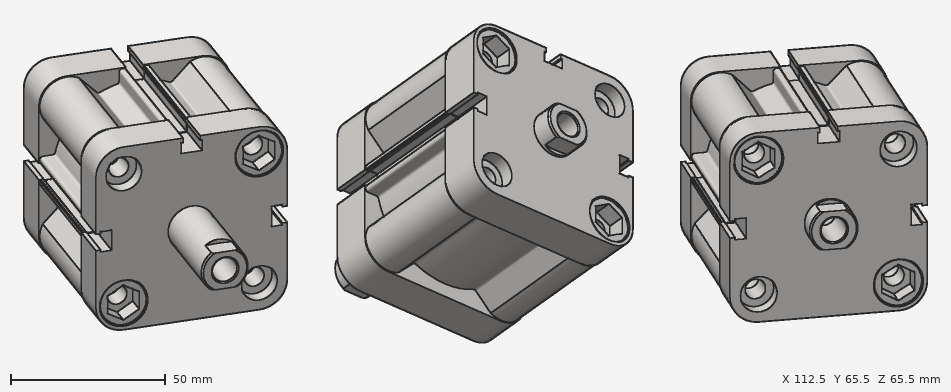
import cadquery as cq
import math


overall_length = 112.5
rear_rod_reach = 7.9
rear_cap_length = 15.0
barrel_length = 42.0
front_cap_length = 14.5
barrel_start = rear_cap_length
barrel_end = barrel_start + barrel_length
front_face = barrel_end + front_cap_length

cap_size = 65.5
cap_half = cap_size / 2
cap_corner_radius = 9.6
bolt_offset = cap_half - cap_corner_radius
bolt_hole_diameter = 6.8
counterbore_diameter = 12.2
counterbore_depth = 5.1
screw_head_radius = 7.9
screw_gap = 0.3
screw_gap_depth = 1.1
screw_head_recess = 0.5
hex_across_flats = 10.8
hex_depth = 6.8
hex_half_angle = 30

screw_corners = [(1, 1), (-1, -1)]
counterbore_corners = [(1, -1), (-1, 1)]

slot_angles = [0, 90, -90]
slot_mouth_half = 2.9
slot_lip_depth = 1.7
cap_slot_half = 3.6
cap_slot_depth = 5.4
barrel_slot_half = 3.3
barrel_slot_floor = 27.7
slot_edge_chamfer = 0.3

barrel_inset = 0.3
barrel_half = cap_half - barrel_inset
tube_radius = 27.8
boss_radius = cap_corner_radius - barrel_inset
web_half_width = 8.8
web_angles = [45, 135, 225, 315]
rail_half_width = 5.3
profile_round = 1.0

rod_diameter = 16.0
rod_radius = rod_diameter / 2
rod_chamfer = 0.6
wrench_flat_gap = 13.2
wrench_flat_length = 6.8
wrench_cutter_radius = 27.0
thread_diameter = 8.4
thread_chamfer = 0.5
thread_depth = 15.8
drill_point_angle = 118.0


def prism_plane(x):
    """Section plane across the axis: local x is Y, local y is Z, extruding toward +X."""
    return cq.Workplane("YZ", origin=(x, 0, 0))


def corner_points(corners):
    return [(sy * bolt_offset, sz * bolt_offset) for sy, sz in corners]


def turn_about_axis(body, angle):
    return body.rotate((0, 0, 0), (1, 0, 0), angle)


def t_slot(start, length, wide_half, floor):
    """Cutter for one T slot opening toward +Z."""
    lip = cap_half - slot_lip_depth
    mouth_middle = (cap_half + floor) / 2
    mouth = (
        prism_plane(start).center(0, mouth_middle)
        .rect(2 * slot_mouth_half, cap_half - floor).extrude(length)
    )
    chamber = (
        prism_plane(start).center(0, (lip + floor) / 2)
        .rect(2 * wide_half, lip - floor).extrude(length)
    )
    return mouth.union(chamber)


def make_rear_cap(length):
    """Cap with its outer face at X = 0, carrying the screw and bolt details on that face."""
    cap = prism_plane(0).rect(cap_size, cap_size).extrude(length)
    cap = cap.edges("|X").fillet(cap_corner_radius)

    for angle in slot_angles:
        slot = t_slot(0, length, cap_slot_half, cap_half - cap_slot_depth)
        cap = cap.cut(turn_about_axis(slot, angle))

    bolt_points = corner_points(screw_corners + counterbore_corners)
    cap = cap.cut(prism_plane(0).pushPoints(bolt_points).circle(bolt_hole_diameter / 2).extrude(length))
    cap = cap.cut(
        prism_plane(0).pushPoints(corner_points(counterbore_corners))
        .circle(counterbore_diameter / 2).extrude(counterbore_depth)
    )

    hex_across_corners = hex_across_flats / math.cos(math.radians(hex_half_angle))
    for y, z in corner_points(screw_corners):
        recess = prism_plane(0).center(y, z).circle(screw_head_radius).extrude(screw_head_recess)
        ring = (
            prism_plane(0).center(y, z).circle(screw_head_radius + screw_gap)
            .circle(screw_head_radius).extrude(screw_gap_depth)
        )
        socket = prism_plane(0).polygon(6, hex_across_corners).extrude(hex_depth)
        socket = turn_about_axis(socket, hex_half_angle).translate((0, y, z))
        cap = cap.cut(recess).cut(ring).cut(socket)

    return cap.cut(prism_plane(0).circle(rod_radius).extrude(length))


def make_front_cap(length):
    """Mirror image of the rear cap, with its outer face at the front."""
    return make_rear_cap(length).mirror("YZ").translate((front_face, 0, 0))


def corner_web():
    """Web along +Y that carries one rounded bolt boss at its end."""
    boss_distance = bolt_offset * math.sqrt(2)
    arc_start = boss_distance + math.sqrt(boss_radius**2 - web_half_width**2)
    return (
        prism_plane(barrel_start)
        .moveTo(0, -web_half_width)
        .lineTo(arc_start, -web_half_width)
        .threePointArc((boss_distance + boss_radius, 0), (arc_start, web_half_width))
        .lineTo(0, web_half_width)
        .close()
        .extrude(barrel_length)
    )


def slot_rail():
    """Rail toward +Z that holds one sensor slot."""
    rail = (
        prism_plane(barrel_start).center(0, barrel_half / 2)
        .rect(2 * rail_half_width, barrel_half).extrude(barrel_length)
    )
    return rail.edges("|X and >Z").fillet(profile_round)


def barrel_slot():
    """T slot with chamfered mouth edges, opening toward +Z."""
    slot = t_slot(barrel_start, barrel_length, barrel_slot_half, barrel_slot_floor)
    mouth_edge = slot_mouth_half + slot_edge_chamfer
    flare = (
        prism_plane(barrel_start)
        .polyline([
            (-mouth_edge, barrel_half),
            (mouth_edge, barrel_half),
            (slot_mouth_half, barrel_half - slot_edge_chamfer),
            (-slot_mouth_half, barrel_half - slot_edge_chamfer),
        ])
        .close()
        .extrude(barrel_length)
    )
    return slot.union(flare)


def lies_on_tube(edge):
    middle = edge.Center()
    return abs(math.hypot(middle.y, middle.z) - tube_radius) < 0.001


def make_barrel():
    barrel = prism_plane(barrel_start).circle(tube_radius).extrude(barrel_length)
    for angle in web_angles:
        barrel = barrel.union(turn_about_axis(corner_web(), angle))
    for angle in slot_angles:
        barrel = barrel.union(turn_about_axis(slot_rail(), angle))

    foot_edges = [edge for edge in barrel.edges("|X").vals() if lies_on_tube(edge)]
    barrel = barrel.newObject(foot_edges).fillet(profile_round)

    for angle in slot_angles:
        barrel = barrel.cut(turn_about_axis(barrel_slot(), angle))

    bolt_points = corner_points(screw_corners + counterbore_corners)
    barrel = barrel.cut(
        prism_plane(barrel_start).pushPoints(bolt_points)
        .circle(bolt_hole_diameter / 2).extrude(barrel_length)
    )
    return barrel.cut(prism_plane(barrel_start).circle(rod_radius).extrude(barrel_length))


def wrench_flat():
    """Cutter for the upper flat at the rod end X = 0, with a curved shoulder."""
    sagitta = wrench_cutter_radius - math.sqrt(wrench_cutter_radius**2 - rod_radius**2)
    edge_length = wrench_flat_length - sagitta
    return (
        cq.Workplane("XY", origin=(0, 0, wrench_flat_gap / 2))
        .moveTo(0, -rod_radius)
        .lineTo(edge_length, -rod_radius)
        .threePointArc((wrench_flat_length, 0), (edge_length, rod_radius))
        .lineTo(0, rod_radius)
        .close()
        .extrude(rod_radius)
    )


def threaded_hole():
    """Chamfered blind hole with a drill point, entering at X = 0."""
    radius = thread_diameter / 2
    point_length = radius / math.tan(math.radians(drill_point_angle / 2))
    return (
        cq.Workplane("XY")
        .polyline([
            (0, 0),
            (0, radius + thread_chamfer),
            (thread_chamfer, radius),
            (thread_depth, radius),
            (thread_depth + point_length, 0),
        ])
        .close()
        .revolve(360, (0, 0, 0), (1, 0, 0))
    )


def make_rod():
    rod = prism_plane(0).circle(rod_radius).extrude(overall_length)
    rod = rod.faces("<X or >X").chamfer(rod_chamfer)
    upper_flat = wrench_flat()
    end_cut = threaded_hole().union(upper_flat).union(upper_flat.mirror("XY"))
    far_end_cut = end_cut.mirror("YZ").translate((overall_length, 0, 0))
    rod = rod.cut(end_cut).cut(far_end_cut)
    return rod.translate((-rear_rod_reach, 0, 0))


rear_cap = make_rear_cap(rear_cap_length)
front_cap = make_front_cap(front_cap_length)
barrel = make_barrel()
rod = make_rod()

result = cq.Compound.makeCompound([
    rear_cap.solids().val(),
    front_cap.solids().val(),
    barrel.solids().val(),
    rod.solids().val(),
])